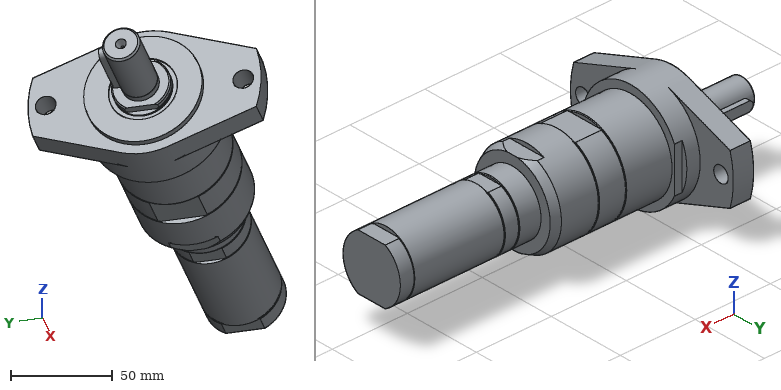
import cadquery as cq
import math

length = 247.5
neck_start = 36.0
collar_start = 39.5
pilot_start = 43.8
flange_start = 47.0
flange_end = 60.6
notch_start = 69.5
hub_end = 74.7
body_flat_start = 105.5
body_flat_end = 123.5
end_flat_start = 144.0
body_taper_start = 148.5
body_end = 153.7
tail_flat_start = 168.3
tail_flat_end = 178.0
tip_flat_start = 237.8

shaft_diameter = 19.0
neck_diameter = 18.8
collar_diameter = 30.0
recess_diameter = 35.0
body_diameter = 60.0
body_end_diameter = 55.0
hub_diameter = 70.0
tail_diameter = 41.5

shaft_chamfer = 1.0
collar_chamfer = 0.7
joint_chamfer = 0.5
recess_depth = 1.0

collar_flat_height = 12.4
body_flat_height = 27.2
tail_flat_height = 19.0
tip_flat_height = 18.3
notch_offset = 31.7

flange_width = 118.0
flange_slope = math.radians(20)
bolt_spacing = 100.0
bolt_hole_diameter = 10.5

key_start = 4.5
key_length = 32.5
key_width = 6.5
key_top = 12.4

center_mouth_diameter = 5.5
center_drill_diameter = 1.55
center_cone_depth = 3.5
center_drill_depth = 5.0


def disc(start, end, diameter):
    return cq.Workplane("YZ", origin=(start, 0, 0)).circle(diameter / 2).extrude(end - start)


def flat_pair_cut(body, start, end, height):
    """Cut a pair of flats, above and below the axis, between two X positions."""
    depth = hub_diameter / 2
    for side in (1, -1):
        block = cq.Workplane("XY").box(end - start, hub_diameter, depth).translate(
            ((start + end) / 2, 0, side * (height + depth / 2)))
        body = body.cut(block)
    return body


def make_shaft():
    shaft = disc(0, neck_start, shaft_diameter).faces("<X").chamfer(shaft_chamfer)
    neck = disc(neck_start, collar_start, neck_diameter)
    collar = disc(collar_start, pilot_start, collar_diameter)
    collar = collar.faces("<X or >X").chamfer(collar_chamfer)
    collar = flat_pair_cut(collar, collar_start, pilot_start, collar_flat_height)
    seat = disc(pilot_start, pilot_start + recess_depth, collar_diameter)
    return shaft.union(neck).union(collar).union(seat)


def make_key():
    return (
        cq.Workplane("XZ", origin=(key_start + key_length / 2, 0, 0))
        .slot2D(key_length, key_width)
        .extrude(-key_top)
    )


def make_hub():
    hub = disc(flange_start, hub_end, hub_diameter)
    notch = cq.Workplane("XY").box(
        hub_end - notch_start, hub_diameter, hub_diameter, centered=(False, False, True)
    ).translate((notch_start, notch_offset, 0))
    return hub.cut(notch)


def make_flange_wings():
    """Two ears whose sloped sides run tangent to the hub, with ends on one common circle."""
    hub_radius = hub_diameter / 2
    tip_radius = flange_width / 2
    tangent_y = hub_radius * math.sin(flange_slope)
    tangent_z = hub_radius * math.cos(flange_slope)
    tip_z = tangent_z - (tip_radius - tangent_y) * math.tan(flange_slope)
    diamond = (
        cq.Workplane("YZ", origin=(flange_start, 0, 0))
        .polyline([
            (tangent_y, tangent_z),
            (tip_radius, tip_z),
            (tip_radius, -tip_z),
            (tangent_y, -tangent_z),
            (-tangent_y, -tangent_z),
            (-tip_radius, -tip_z),
            (-tip_radius, tip_z),
            (-tangent_y, tangent_z),
        ])
        .close()
        .extrude(flange_end - flange_start)
    )
    return diamond.intersect(disc(flange_start, flange_end, flange_width))


def make_bolt_holes():
    return (
        cq.Workplane("YZ", origin=(flange_start, 0, 0))
        .pushPoints([(bolt_spacing / 2, 0), (-bolt_spacing / 2, 0)])
        .circle(bolt_hole_diameter / 2)
        .extrude(flange_end - flange_start)
    )


def make_body():
    front = disc(pilot_start, body_flat_start, body_diameter)
    front = front.faces(">X").chamfer(joint_chamfer)
    front = front.cut(disc(pilot_start, pilot_start + recess_depth, recess_diameter))

    middle = disc(body_flat_start, body_flat_end, body_diameter)
    middle = middle.faces(">X").chamfer(joint_chamfer)
    middle = flat_pair_cut(middle, body_flat_start, body_flat_end, body_flat_height)

    taper_drop = (body_diameter - body_end_diameter) / 2
    rear = disc(body_flat_end, body_end, body_diameter)
    rear = rear.faces(">X").chamfer(body_end - body_taper_start, taper_drop)
    rear = flat_pair_cut(rear, end_flat_start, body_end, body_flat_height)
    return front.union(middle).union(rear)


def make_tail():
    front = disc(body_end, tail_flat_start, tail_diameter)
    front = front.faces(">X").chamfer(joint_chamfer)

    middle = disc(tail_flat_start, tail_flat_end, tail_diameter)
    middle = middle.faces(">X").chamfer(joint_chamfer)
    middle = flat_pair_cut(middle, tail_flat_start, tail_flat_end, tail_flat_height)

    rear = disc(tail_flat_end, tip_flat_start, tail_diameter)

    tip = disc(tip_flat_start, length, tail_diameter)
    tip = tip.faces("<X").chamfer(joint_chamfer)
    tip = flat_pair_cut(tip, tip_flat_start, length, tip_flat_height)
    return front.union(middle).union(rear).union(tip)


def make_center_hole():
    return (
        cq.Workplane("XY")
        .polyline([
            (0, 0),
            (0, center_mouth_diameter / 2),
            (center_cone_depth, center_drill_diameter / 2),
            (center_drill_depth, center_drill_diameter / 2),
            (center_drill_depth, 0),
        ])
        .close()
        .revolve(360, (0, 0, 0), (1, 0, 0))
    )


result = make_body()
for piece in (make_hub(), make_flange_wings(), make_tail(), make_shaft(), make_key()):
    result = result.union(piece)
result = result.cut(make_bolt_holes()).cut(make_center_hole())